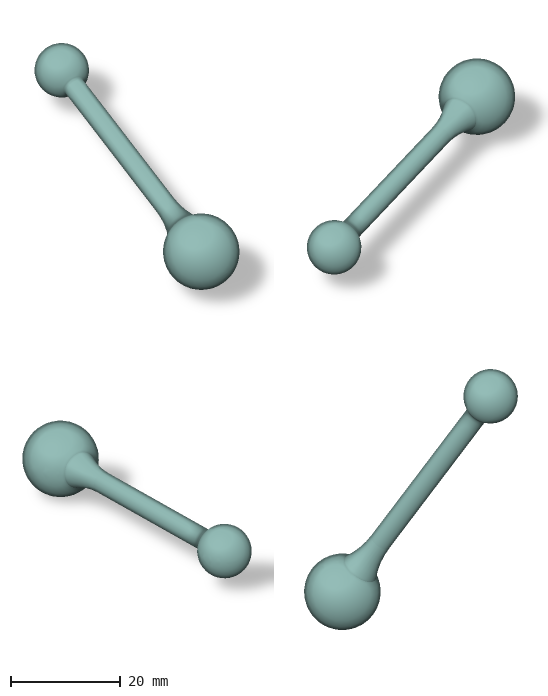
import cadquery as cq
import math

overall_length = 63.0
large_ball_radius = 7.0
small_ball_radius = 5.0
rod_radius = 2.0
neck_fillet_radius = 0.5
flare_start = 42.9
flare_end_radius = 3.45

small_end = -small_ball_radius
large_end = small_end + overall_length
large_centre = large_end - large_ball_radius
rod_end = small_end + flare_start
flare_end = large_centre - math.sqrt(large_ball_radius**2 - flare_end_radius**2)

fillet_centre_y = rod_radius + neck_fillet_radius
fillet_centre_distance = small_ball_radius + neck_fillet_radius
rod_start = math.sqrt(fillet_centre_distance**2 - fillet_centre_y**2)
contact_ratio = small_ball_radius / fillet_centre_distance
ball_contact = (rod_start * contact_ratio, fillet_centre_y * contact_ratio)

profile = (
    cq.Workplane("XY")
    .moveTo(small_end, 0)
    .threePointArc((0, small_ball_radius), ball_contact)
    .radiusArc((rod_start, rod_radius), -neck_fillet_radius)
    .lineTo(rod_end, rod_radius)
    .tangentArcPoint((flare_end, flare_end_radius), relative=False)
    .threePointArc((large_centre, large_ball_radius), (large_end, 0))
    .close()
)
result = profile.revolve(360, (0, 0, 0), (1, 0, 0))